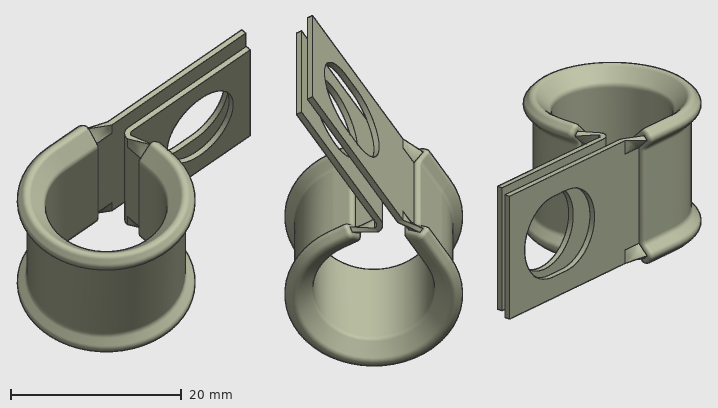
import cadquery as cq
import math


rim_radius = 10.45
half_height = 8.63
barrel_radius = 9.3
bore_radius = 7.15
lip_round = 0.7
flare_round = 0.83
flare_start = 6.05

clamp_sweep = 270
long_leg = 5.35
short_leg = 2.55
end_round = 0.5

strap_radius = 8.6
strap_thickness = 0.7
strap_half_width = 7.88
long_tail_end = 28.95
short_tail_end = 27.65
bend_radius = 1.22
strap_inner = strap_radius - strap_thickness

fold_height = 6.15
fold_reach = 1.25
gusset_length = 2.55

hole_center = 19.8
hole_diameter = 10.32
slot_length = 12.73

long_leg_plane = cq.Plane(origin=(0, 0, 0), xDir=(-1, 0, 0), normal=(0, 1, 0))
short_leg_plane = cq.Plane(origin=(0, 0, 0), xDir=(0, 1, 0), normal=(-1, 0, 0))


def sleeve_section():
    """Wall of the sleeve as (radius, height), flared at 45 degrees top and bottom."""
    corner_reach = lip_round * (math.sqrt(2) - 1)
    lip_radius = rim_radius + corner_reach
    lip_height = flare_start + lip_radius - barrel_radius
    top_height = half_height + corner_reach
    top_radius = lip_radius + lip_height - top_height
    bore_height = top_height - (top_radius - bore_radius)

    upper = [
        (bore_radius, bore_height),
        (top_radius, top_height),
        (lip_radius, lip_height),
        (barrel_radius, flare_start),
    ]
    lower = [(radius, -height) for radius, height in reversed(upper)]
    outline = upper + lower
    lips = ">X or >Y or <Y"
    return (
        cq.Sketch()
        .polygon(outline + outline[:1])
        .vertices(f"not ({lips})")
        .fillet(flare_round)
        .reset()
        .vertices(lips)
        .fillet(lip_round)
        .reset()
    )


def sleeve_leg(section, plane, length):
    """Straight end of the sleeve with its end face rounded over."""
    leg = cq.Workplane(plane).placeSketch(section).extrude(length)
    end_face = cq.selectors.DirectionMinMaxSelector(plane.zDir)
    return leg.faces(end_face).edges().fillet(end_round)


def sleeve():
    """Ring with a straight leg at each end."""
    section = sleeve_section()
    ring = (
        cq.Workplane(short_leg_plane)
        .placeSketch(section)
        .revolve(clamp_sweep, (0, 0), (0, 1))
    )
    return (
        ring
        .union(sleeve_leg(section, long_leg_plane, long_leg))
        .union(sleeve_leg(section, short_leg_plane, short_leg))
    )


def gussets(plane, leg_length):
    """Pair of strap corners that twist from folded, at the sleeve end, to flat."""
    tip = (strap_radius + fold_reach, fold_height + fold_reach)
    inner_tip_radius = tip[0] + tip[1] - strap_half_width
    inner_fold_height = strap_half_width - (inner_tip_radius - strap_inner)
    folded = [
        (strap_radius, fold_height),
        tip,
        (inner_tip_radius, strap_half_width),
        (strap_inner, inner_fold_height),
        (strap_inner, fold_height),
    ]
    flat = [
        (strap_radius, fold_height),
        (strap_radius, strap_half_width),
        (strap_inner, strap_half_width),
        (strap_inner, inner_fold_height),
        (strap_inner, fold_height),
    ]
    gusset = (
        cq.Workplane(plane)
        .workplane(offset=leg_length)
        .polyline(folded)
        .close()
        .workplane(offset=gusset_length)
        .polyline(flat)
        .close()
        .loft(ruled=True)
    )
    return gusset.union(gusset.mirror("XY"))


def strap_plate(x_outer, y_start, y_end, half_width):
    """Flat plate in the YZ plane whose outer face lies at x_outer."""
    return (
        cq.Workplane("XY")
        .box(strap_thickness, y_end - y_start, 2 * half_width, centered=(False, False, True))
        .translate((x_outer, y_start, 0))
    )


def long_tail():
    """Straight strap end with the slotted hole."""
    flat_start = long_leg + gusset_length
    tail = strap_plate(-strap_radius, flat_start, long_tail_end, strap_half_width)
    neck = strap_plate(-strap_radius, long_leg, flat_start, fold_height)
    slot = (
        cq.Workplane("YZ")
        .center(hole_center, 0)
        .slot2D(slot_length, hole_diameter)
        .extrude(-rim_radius)
    )
    return tail.union(neck).union(gussets(long_leg_plane, long_leg)).cut(slot)


def short_tail():
    """Strap end bent to run beside the long tail, with the round hole."""
    bend_x = -short_leg - gusset_length
    outer_x = bend_x - bend_radius
    bend_y = strap_inner + bend_radius
    tail = strap_plate(outer_x, bend_y, short_tail_end, strap_half_width)
    bend_quadrant = (
        cq.Workplane("XY")
        .box(bend_radius, bend_radius, 2 * strap_half_width, centered=(False, False, True))
        .translate((outer_x, strap_inner, 0))
    )
    bend = (
        cq.Workplane("XY")
        .center(bend_x, bend_y)
        .circle(bend_radius)
        .circle(bend_radius - strap_thickness)
        .extrude(strap_half_width, both=True)
        .intersect(bend_quadrant)
    )
    neck = (
        cq.Workplane(short_leg_plane)
        .workplane(offset=short_leg)
        .center(strap_inner + strap_thickness / 2, 0)
        .rect(strap_thickness, 2 * fold_height)
        .extrude(gusset_length)
    )
    hole = (
        cq.Workplane("YZ")
        .center(hole_center, 0)
        .circle(hole_diameter / 2)
        .extrude(-rim_radius)
    )
    return tail.union(bend).union(neck).union(gussets(short_leg_plane, short_leg)).cut(hole)


result = sleeve().union(long_tail()).union(short_tail())